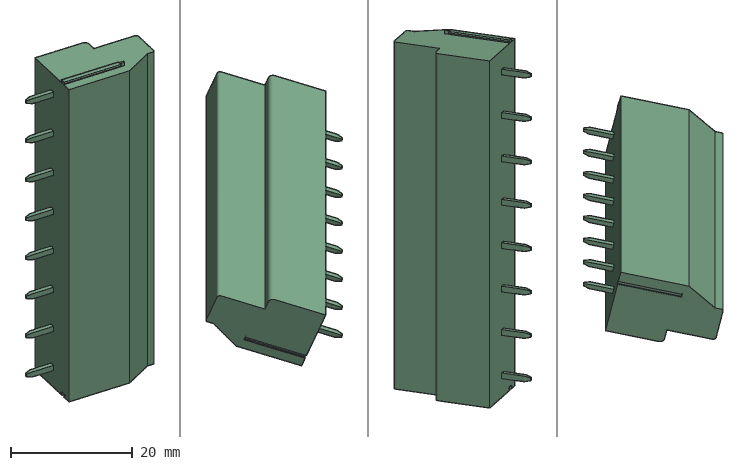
import cadquery as cq

pole_count = 8
pitch = 7.62
housing_width = 11.2
housing_depth = 18.0
housing_length = pole_count * pitch

step_width = 2.4
shoulder_y = 9.8
top_right_x = 8.2
slope_top_y = 16.6
slope_bottom_y = 11.5
shoulder_radius = 0.8
top_left_radius = 0.5
top_right_radius = 0.3

pin_x = 5.7
first_pin_z = pitch / 2
pin_width = 0.8
pin_height = 1.0
pin_length = 5.0
tip_length = 1.0
tip_width = 0.35
tip_height = 0.5

dovetail_x = 9.2
dovetail_height = 0.6
dovetail_width = 1.2
dovetail_base_width = 0.5
dovetail_top_width = 0.9
dovetail_bevel = 0.2
dovetail_length = 10.75
tongue_width = 0.4
tongue_end_y = 11.6


def make_housing():
    profile = (
        cq.Workplane("XY")
        .lineTo(housing_width, 0)
        .lineTo(housing_width, slope_bottom_y)
        .lineTo(top_right_x, slope_top_y)
        .lineTo(top_right_x, housing_depth - top_right_radius)
        .radiusArc((top_right_x - top_right_radius, housing_depth), -top_right_radius)
        .lineTo(step_width + top_left_radius, housing_depth)
        .radiusArc((step_width, housing_depth - top_left_radius), -top_left_radius)
        .lineTo(step_width, shoulder_y)
        .lineTo(shoulder_radius, shoulder_y)
        .radiusArc((0, shoulder_y - shoulder_radius), -shoulder_radius)
        .close()
    )
    return profile.extrude(housing_length)


def make_pin(z):
    shaft_length = pin_length - tip_length
    shaft = cq.Workplane("XZ").center(pin_x, z).rect(pin_width, pin_height).extrude(shaft_length)
    tip = (
        cq.Workplane("XZ", origin=(pin_x, -shaft_length, z))
        .rect(pin_width, pin_height)
        .workplane(offset=tip_length)
        .rect(tip_width, tip_height)
        .loft()
    )
    return shaft.union(tip)


def make_dovetail(base_z):
    """Dovetail bar standing on base_z, widest above the base, with bevelled top edges."""
    half_base = dovetail_base_width / 2
    half_width = dovetail_width / 2
    half_top = dovetail_top_width / 2
    widest_z = dovetail_height - dovetail_bevel
    return (
        cq.Workplane("XZ", origin=(dovetail_x, 0, base_z))
        .moveTo(-half_base, 0)
        .lineTo(half_base, 0)
        .lineTo(half_width, widest_z)
        .lineTo(half_top, dovetail_height)
        .lineTo(-half_top, dovetail_height)
        .lineTo(-half_width, widest_z)
        .close()
        .extrude(-dovetail_length)
    )


def make_tongue(base_z):
    """Narrow tongue running along the middle of the dovetail and beyond its end."""
    return cq.Workplane("XY", origin=(dovetail_x, 0, base_z)).box(
        tongue_width, tongue_end_y, dovetail_height, centered=(True, False, False)
    )


result = make_housing().cut(make_dovetail(0))
result = result.union(make_dovetail(housing_length)).union(make_tongue(housing_length))
for pole in range(pole_count):
    result = result.union(make_pin(first_pin_z + pole * pitch))